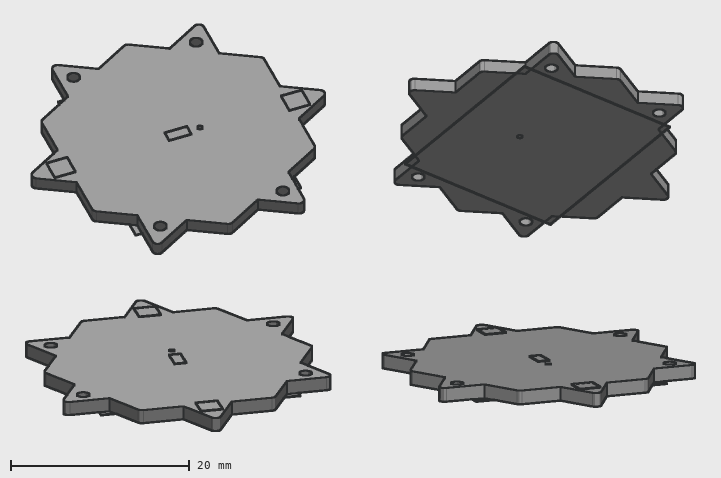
import cadquery as cq
import math

board_thickness = 1.6
star_radius = 18.3
hexagon_radius = 15.55
corner_radius = 0.6
sides = 6

mount_hole_diameter = 1.4
mount_hole_circle_radius = 14.85
mount_hole_angles = (30, 150, 210, 330)

pilot_hole_diameter = 0.6
pilot_hole_x = -0.07
pilot_hole_y = 2.65

layer_thickness = 0.09
pad_side = 2.5
pad_offset = 14.2
chip_width = 1.35
chip_length = 2 * chip_width
chip_x = -0.07
plate_length = 23.0
plate_width = 20.0
plate_x = 0.1
plate_y = 0.1


def polar(radius, degrees):
    angle = math.radians(degrees)
    return (radius * math.cos(angle), radius * math.sin(angle))


def regular_prism(corners, radius, first_angle):
    """Upright prism on a regular polygon with its first corner at first_angle."""
    points = [polar(radius, first_angle + i * 360 / corners) for i in range(corners)]
    return cq.Workplane("XY").polyline(points).close().extrude(board_thickness)


def rounded_corner_selector(radius, first_angle):
    """Selector for the vertical edges at the outer corners on one circle."""
    selector = None
    for i in range(sides):
        x, y = polar(radius, first_angle + i * 360 / sides)
        nearest = cq.selectors.NearestToPointSelector((x, y, board_thickness / 2))
        selector = nearest if selector is None else selector + nearest
    return selector


def make_board():
    star = regular_prism(3, star_radius, 30).union(regular_prism(3, star_radius, 90))
    board = star.union(regular_prism(sides, hexagon_radius, 0))

    outer_corners = rounded_corner_selector(star_radius, 30) + rounded_corner_selector(hexagon_radius, 0)
    board = board.edges("|Z").edges(outer_corners).fillet(corner_radius)

    mount_points = [polar(mount_hole_circle_radius, angle) for angle in mount_hole_angles]
    mount_holes = (
        cq.Workplane("XY").pushPoints(mount_points).circle(mount_hole_diameter / 2).extrude(board_thickness)
    )
    pilot_hole = (
        cq.Workplane("XY")
        .center(pilot_hole_x, pilot_hole_y)
        .circle(pilot_hole_diameter / 2)
        .extrude(board_thickness)
    )
    return board.cut(mount_holes).cut(pilot_hole)


def make_layer(x, y, bottom_z, length_x, length_y):
    """Thin rectangular body centred on x, y with its underside at bottom_z."""
    layer = cq.Workplane("XY").box(length_x, length_y, layer_thickness, centered=(True, True, False))
    return layer.translate((x, y, bottom_z))


def make_pad(y):
    return make_layer(0, y, board_thickness, pad_side, pad_side)


def make_chip():
    return make_layer(chip_x, 0, board_thickness, chip_width, chip_length)


def make_plate():
    return make_layer(plate_x, plate_y, -layer_thickness, plate_length, plate_width)


board = make_board()
pads = [make_pad(side * pad_offset) for side in (-1, 1)]
chip = make_chip()
plate = make_plate()

result = cq.Compound.makeCompound([board.val(), *[pad.val() for pad in pads], chip.val(), plate.val()])